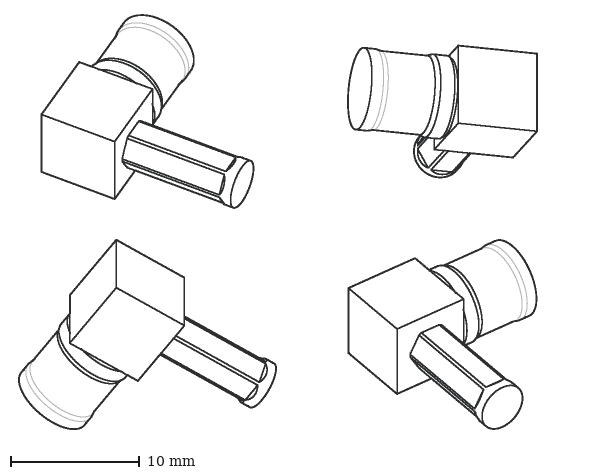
import cadquery as cq


block_size = 6.4
block_half = block_size / 2

socket_length = 7.01
foot_radius = 3.06
flange_radius = 3.25
barrel_diameter = 6.2
barrel_radius = barrel_diameter / 2
collar_radius = 3.2
foot_length = 0.29
flange_length = 1.15
cone_length = 0.41
collar_length = 0.92

overall_length = 15.93
ferrule_length = overall_length - flange_radius - block_half
ferrule_diameter = 3.9
ferrule_radius = ferrule_diameter / 2
across_flats = 3.5
flat_length = 8.49
flat_count = 6
ramp_run = 0.25
ramp_rise = ferrule_radius - across_flats / 2


def make_block():
    return cq.Workplane("XY").box(block_size, block_size, block_size)


def make_socket():
    """Solid of revolution: tapered foot, flange, waisted barrel and end collar."""
    base = block_half
    end = base + socket_length
    flange_start = base + foot_length
    flange_end = flange_start + flange_length
    collar_start = end - collar_length
    profile = [
        (0, base),
        (foot_radius, base),
        (flange_radius, flange_start),
        (flange_radius, flange_end),
        (barrel_radius, flange_end + cone_length),
        (barrel_radius, collar_start - cone_length),
        (collar_radius, collar_start),
        (collar_radius, end),
        (0, end),
    ]
    return cq.Workplane("XY").polyline(profile).close().revolve(360, (0, 0, 0), (0, 1, 0))


def make_flat_cutter():
    """Wedge-ended bar that removes the material above the top (+Z) flat."""
    flat_height = across_flats / 2
    flat_end = block_half + flat_length
    profile = [
        (block_half, flat_height),
        (flat_end, flat_height),
        (flat_end + ramp_run, flat_height + ramp_rise),
        (block_half, flat_height + ramp_rise),
    ]
    return cq.Workplane("XZ").polyline(profile).close().extrude(ferrule_radius, both=True)


def make_ferrule():
    """Round bar with six crimped flats that ramp out to a full round end."""
    base_plane = cq.Workplane("YZ", origin=(block_half, 0, 0))
    ferrule = base_plane.circle(ferrule_radius).extrude(ferrule_length)
    cutter = make_flat_cutter()
    for i in range(flat_count):
        ferrule = ferrule.cut(cutter.rotate((0, 0, 0), (1, 0, 0), i * 360 / flat_count))
    return ferrule


block = make_block()
socket = make_socket()
ferrule = make_ferrule()

result = cq.Compound.makeCompound([block.val(), socket.val(), ferrule.val()])